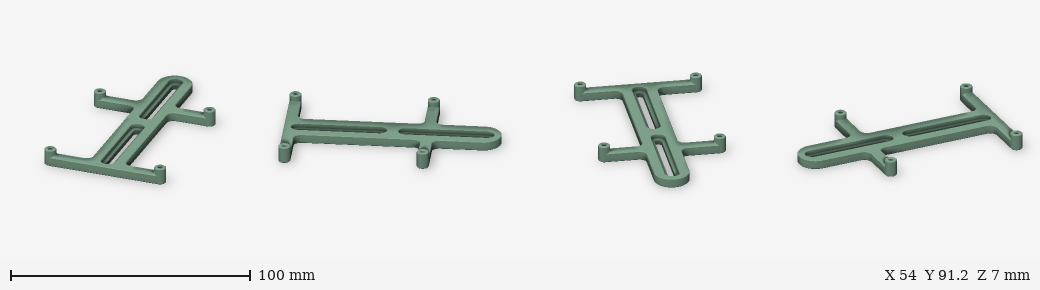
import cadquery as cq

length = 91.2
spine_width = 15.0
plate_thickness = 4.0
edge_chamfer = 0.3
chamfer_angle = 45

standoff_diameter = 5.0
standoff_height = 7.0
standoff_hole_diameter = 1.9
standoff_spacing_x = 49.0
standoff_spacing_y = 58.0
standoff_root_radius = 1.0
arm_corner_radius = 3.0

slot_width = 3.0
slot_length = 35.95
pocket_width = 6.0
pocket_length = 40.1
pocket_floor = 2.0
pocket_end_wall = 3.0
lengthwise = 90

arm_width = standoff_diameter
spine_end_radius = spine_width / 2
standoff_radius = standoff_diameter / 2
lower_arm_y = arm_width / 2
upper_arm_y = lower_arm_y + standoff_spacing_y
arm_positions_y = (lower_arm_y, upper_arm_y)
standoff_points = [
    (side * standoff_spacing_x / 2, y) for y in arm_positions_y for side in (-1, 1)
]
pocket_offset_y = pocket_end_wall + pocket_length / 2
slot_points = [(0, pocket_offset_y), (0, length - pocket_offset_y)]


def make_plate():
    """Round-ended spine crossed by two round-ended arms, with rounded inner corners."""
    spine_straight = length - spine_end_radius
    plate = (
        cq.Workplane("XY")
        .rect(spine_width, spine_straight)
        .extrude(plate_thickness)
        .translate((0, spine_straight / 2, 0))
    )
    spine_end = (
        cq.Workplane("XY")
        .center(0, spine_straight)
        .circle(spine_end_radius)
        .extrude(plate_thickness)
    )
    arms = (
        cq.Workplane("XY")
        .pushPoints([(0, y) for y in arm_positions_y])
        .slot2D(standoff_spacing_x + arm_width, arm_width)
        .extrude(plate_thickness)
    )
    plate = plate.union(spine_end).union(arms).clean()

    half_spine = spine_width / 2
    corner_positions_y = (
        lower_arm_y + arm_width / 2,
        upper_arm_y - arm_width / 2,
        upper_arm_y + arm_width / 2,
    )
    for y in corner_positions_y:
        for x in (-half_spine, half_spine):
            corner = cq.selectors.NearestToPointSelector((x, y, plate_thickness / 2))
            plate = plate.edges(corner).fillet(arm_corner_radius)
    return plate.faces("<Z or >Z").edges().chamfer(edge_chamfer)


def add_standoffs(plate):
    """Pillars on the arm ends, blended into the top of the arm on the inner side."""
    blanks = (
        cq.Workplane("XY", origin=(0, 0, edge_chamfer))
        .pushPoints(standoff_points)
        .circle(standoff_radius)
        .extrude(standoff_height - edge_chamfer)
    )
    pillars = blanks.faces(">Z").edges().chamfer(edge_chamfer)
    body = plate.cut(blanks).union(pillars)
    for x, y in standoff_points:
        inner_x = x - standoff_radius if x > 0 else x + standoff_radius
        root = cq.selectors.NearestToPointSelector((inner_x, y, plate_thickness))
        body = body.edges(root).fillet(standoff_root_radius)
    return body


def cut_standoff_holes(body):
    """Through holes with a chamfered mouth at the top of each standoff."""
    mouth_diameter = standoff_hole_diameter + 2 * edge_chamfer
    return (
        body.faces(">Z")
        .workplane(origin=(0, 0, standoff_height))
        .pushPoints(standoff_points)
        .cskHole(standoff_hole_diameter, mouth_diameter, 2 * chamfer_angle)
    )


def cut_stepped_slots(body):
    """Two lengthwise slots, each with a wide chamfered pocket above a narrow opening."""
    openings = (
        cq.Workplane("XY")
        .pushPoints(slot_points)
        .slot2D(slot_length, slot_width, lengthwise)
        .extrude(plate_thickness)
    )
    pockets = (
        cq.Workplane("XY", origin=(0, 0, pocket_floor))
        .pushPoints(slot_points)
        .slot2D(pocket_length, pocket_width, lengthwise)
        .extrude(plate_thickness - pocket_floor)
    )
    mouth_chamfers = (
        cq.Workplane("XY", origin=(0, 0, plate_thickness))
        .pushPoints(slot_points)
        .slot2D(pocket_length + 2 * edge_chamfer, pocket_width + 2 * edge_chamfer, lengthwise)
        .extrude(-edge_chamfer, taper=chamfer_angle)
    )
    return body.cut(openings).cut(pockets).cut(mouth_chamfers)


result = make_plate()
result = add_standoffs(result)
result = cut_standoff_holes(result)
result = cut_stepped_slots(result).solids()